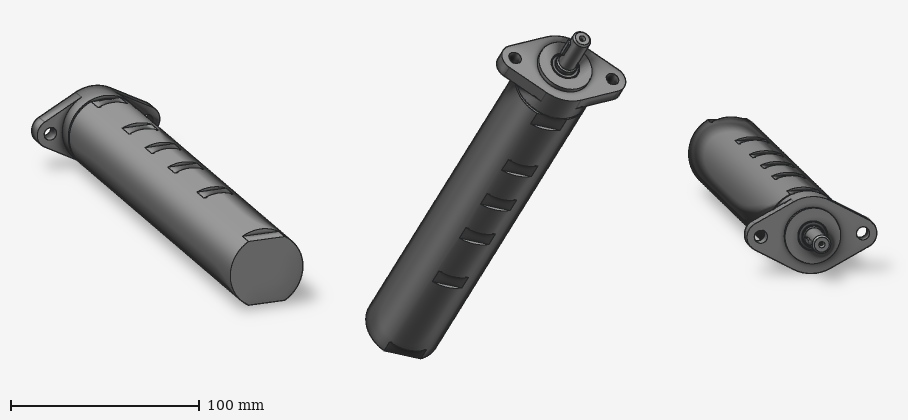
import math

import cadquery as cq


shaft_diameter = 10.0
shaft_chamfer = 1.0
collar_diameter = 12.0
shoulder_start = 22.9
shoulder_end = 23.4
clip_groove_diameter = 11.45
clip_groove_start = 23.7
clip_groove_width = 2.0
centre_hole_diameter = 1.6
centre_hole_depth = 5.0
countersink_diameter = 3.35
countersink_angle = 60.0

key_start = 4.5
key_length = 12.5
key_width = 3.0
key_top = collar_diameter / 2

pilot_start = 26.0
pilot_diameter = 30.0
seal_groove_outer_diameter = 16.0
seal_groove_inner_diameter = 14.95
seal_groove_depth = 1.0
flange_start = 28.6
flange_thickness = 8.3
ear_diameter = 16.0
flange_width = 69.94
ear_spacing = flange_width - ear_diameter
ear_hole_diameter = 7.0
ear_hole_spacing = 55.0

body_diameter = 41.5
total_length = 276.2
neck_diameter = 37.99
neck_start = 45.4
neck_width = 1.5
neck_cutter_diameter = body_diameter + 10.0
flat_distance = 38.0
stage_flat_length = 10.0
stage_pitch = 32.5
first_stage_flats = 91.2
stage_count = 3
front_flats_start = neck_start + neck_width
rear_flats_start = 197.7
end_flat_distance = 36.0
end_flats_start = 267.6


def rod(start, end, diameter):
    """Cylinder on the X axis between two stations."""
    return cq.Workplane("YZ").workplane(offset=start).circle(diameter / 2).extrude(end - start)


def ring(start, width, outer_diameter, inner_diameter):
    """Washer-shaped cutter on the X axis."""
    outer = rod(start, start + width, outer_diameter)
    return outer.cut(rod(start, start + width, inner_diameter))


def make_shaft():
    shaft = rod(0, shoulder_end, shaft_diameter).faces("<X").chamfer(shaft_chamfer)
    shoulder_length = shoulder_end - shoulder_start
    shoulder = (
        cq.Workplane("YZ")
        .workplane(offset=shoulder_start)
        .circle(shaft_diameter / 2)
        .workplane(offset=shoulder_length)
        .circle(collar_diameter / 2)
        .loft(ruled=True)
    )
    collar = rod(shoulder_end, flange_start, collar_diameter)
    clip_groove = ring(clip_groove_start, clip_groove_width, body_diameter, clip_groove_diameter)
    shaft = shaft.union(shoulder).union(collar).cut(clip_groove)
    return (
        shaft.faces("<X")
        .workplane(centerOption="CenterOfBoundBox")
        .cskHole(centre_hole_diameter, countersink_diameter, countersink_angle, centre_hole_depth)
    )


def make_key():
    return (
        cq.Workplane("XZ")
        .center(key_start + key_length / 2, 0)
        .slot2D(key_length, key_width)
        .extrude(-key_top)
    )


def make_pilot():
    pilot = rod(pilot_start, flange_start, pilot_diameter)
    seal_groove = ring(
        pilot_start, seal_groove_depth, seal_groove_outer_diameter, seal_groove_inner_diameter
    )
    return pilot.cut(seal_groove)


def make_flange():
    """Ears with straight sides tangent to the body and ear circles; the body fills out the middle."""
    body_radius = body_diameter / 2
    ear_radius = ear_diameter / 2
    ear_y = ear_spacing / 2
    sine = (body_radius - ear_radius) / ear_y
    cosine = math.sqrt(1 - sine**2)
    body_touch_y = body_radius * sine
    body_touch_z = body_radius * cosine
    ear_touch_y = ear_y + ear_radius * sine
    ear_touch_z = ear_radius * cosine
    ear_tip_y = ear_y + ear_radius
    return (
        cq.Workplane("YZ")
        .workplane(offset=flange_start)
        .moveTo(-body_touch_y, body_touch_z)
        .lineTo(body_touch_y, body_touch_z)
        .lineTo(ear_touch_y, ear_touch_z)
        .threePointArc((ear_tip_y, 0), (ear_touch_y, -ear_touch_z))
        .lineTo(body_touch_y, -body_touch_z)
        .lineTo(-body_touch_y, -body_touch_z)
        .lineTo(-ear_touch_y, -ear_touch_z)
        .threePointArc((-ear_tip_y, 0), (-ear_touch_y, ear_touch_z))
        .close()
        .pushPoints([(-ear_hole_spacing / 2, 0), (ear_hole_spacing / 2, 0)])
        .circle(ear_hole_diameter / 2)
        .extrude(flange_thickness)
    )


def flats_cutter(start, length, distance):
    """Pair of blocks that leaves two flats, above and below, the given distance apart."""
    block = cq.Workplane("XY").box(length, body_diameter, body_diameter)
    centre_x = start + length / 2
    centre_z = (distance + body_diameter) / 2
    upper = block.translate((centre_x, 0, centre_z))
    lower = block.translate((centre_x, 0, -centre_z))
    return upper.union(lower)


def make_body():
    body = rod(flange_start, total_length, body_diameter)
    body = body.cut(ring(neck_start, neck_width, neck_cutter_diameter, neck_diameter))
    stage_starts = [first_stage_flats + i * stage_pitch for i in range(stage_count)]
    for start in [front_flats_start, *stage_starts, rear_flats_start]:
        body = body.cut(flats_cutter(start, stage_flat_length, flat_distance))
    end_flats_length = total_length - end_flats_start
    return body.cut(flats_cutter(end_flats_start, end_flats_length, end_flat_distance))


result = make_body()
for piece in (make_flange(), make_pilot(), make_shaft(), make_key()):
    result = result.union(piece)